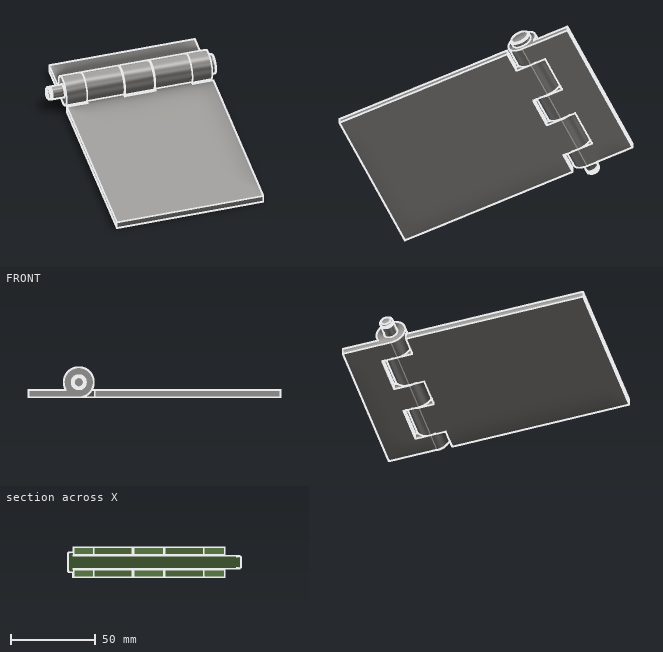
import cadquery as cq

hinge_width = 150.0
leaf_thickness = 4.5
narrow_leaf_length = 90.0
wide_leaf_length = 90.5

barrel_diameter = 18.0
barrel_radius = barrel_diameter / 2
axis_x = 30.0
axis_z = barrel_radius
bore_diameter = 8.5
slot_clearance = 0.5

end_knuckle = 12.8
wide_leaf_knuckle = 23.0
middle_knuckle = 18.2
knuckle_gap = 0.5

first_start = end_knuckle
first_end = first_start + wide_leaf_knuckle
middle_start = first_end + knuckle_gap
middle_end = middle_start + middle_knuckle
second_start = middle_end + knuckle_gap
second_end = second_start + wide_leaf_knuckle

narrow_leaf_knuckles = [
    (0, first_start),
    (middle_start, middle_end),
    (second_end, narrow_leaf_length),
]
wide_leaf_knuckles = [(first_start, first_end), (second_start, second_end)]
narrow_leaf_slots = [(first_start, middle_start), (middle_end, second_end)]
wide_leaf_slots = [
    (0, first_start),
    (first_end, second_start),
    (second_end, wide_leaf_length),
]

pin_diameter = 8.0
pin_tail = 9.8
head_diameter = 12.0
head_height = 3.3
head_chamfer = 0.6
tip_chamfer = 1.0
groove_from_tip = 2.1
groove_width = 0.5
groove_depth = 0.5


def block(x_start, x_end, y_start, y_end):
    """Block as thick as a leaf, standing on the underside plane."""
    return cq.Workplane("XY").box(
        x_end - x_start, y_end - y_start, leaf_thickness, centered=False
    ).translate((x_start, y_start, 0))


def rod(diameter, y_start, y_end):
    """Round bar on the hinge axis."""
    return (
        cq.Workplane("XZ", origin=(axis_x, y_start, axis_z))
        .circle(diameter / 2)
        .extrude(y_start - y_end)
    )


def make_leaf(outer_x, length, knuckles, slots):
    """Plate from outer_x to the hinge axis, slotted for the opposite knuckles, with its own knuckles."""
    x_start = min(outer_x, axis_x)
    x_end = max(outer_x, axis_x)
    leaf = block(x_start, x_end, 0, length)
    slot_reach = barrel_radius + slot_clearance
    for y_start, y_end in slots:
        leaf = leaf.cut(block(axis_x - slot_reach, axis_x + slot_reach, y_start, y_end))
    for y_start, y_end in knuckles:
        leaf = leaf.union(rod(barrel_diameter, y_start, y_end))
    return leaf.cut(rod(bore_diameter, 0, length))


def make_pin():
    """Headed pin with a chamfered tip and a narrow ring groove near the tip."""
    shank = rod(pin_diameter, -pin_tail, narrow_leaf_length).faces("<Y").chamfer(tip_chamfer)
    head = rod(head_diameter, narrow_leaf_length, narrow_leaf_length + head_height)
    head = head.faces(">Y").chamfer(head_chamfer)
    groove_start = groove_from_tip - pin_tail
    groove_end = groove_start + groove_width
    groove = rod(pin_diameter, groove_start, groove_end).cut(
        rod(pin_diameter - 2 * groove_depth, groove_start, groove_end)
    )
    return shank.union(head).cut(groove)


narrow_leaf = make_leaf(0, narrow_leaf_length, narrow_leaf_knuckles, narrow_leaf_slots)
wide_leaf = make_leaf(hinge_width, wide_leaf_length, wide_leaf_knuckles, wide_leaf_slots)
pin = make_pin()

result = cq.Compound.makeCompound([narrow_leaf.val(), wide_leaf.val(), pin.val()])